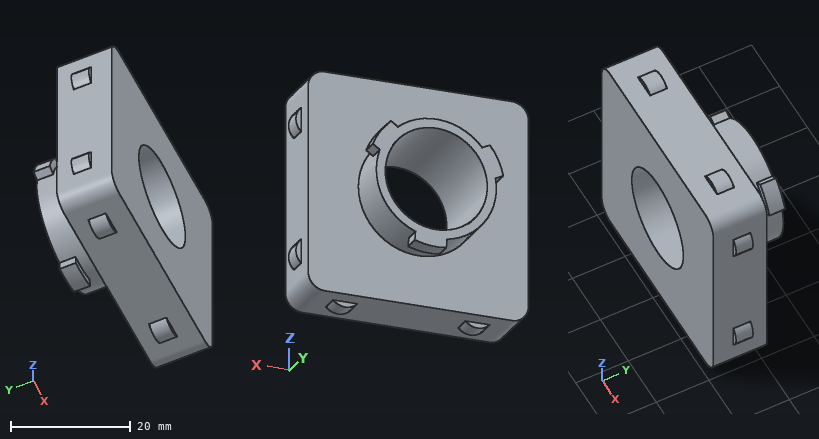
import cadquery as cq

overall_width = 41.85
body_width = 40.0
body_depth = 10.17
corner_radius = 3.0

boss_depth = 8.0
boss_diameter = 21.77
bore_diameter = 18.45
total_depth = body_depth + boss_depth

bump_radius = 3.0
bump_length = 3.22
bump_front = 3.8
bump_spacing = 24.0
bump_center = overall_width / 2 - bump_radius

lug_count = 3
first_lug_angle = 35.0
lug_tip_radius = 12.4
lug_width = 5.75
lug_depth = 3.0


def plane_at(y):
    """XZ plane at the given Y; a negative extrusion runs toward +Y."""
    return cq.Workplane("XZ", origin=(0, y, 0))


def make_body():
    body = plane_at(0).rect(body_width, body_width).extrude(-body_depth)
    return body.edges("|Y").fillet(corner_radius)


def make_bumps():
    half_spacing = bump_spacing / 2
    centers = []
    for side in (-1, 1):
        for position in (-half_spacing, half_spacing):
            centers.append((side * bump_center, position))
            centers.append((position, side * bump_center))
    return plane_at(bump_front).pushPoints(centers).circle(bump_radius).extrude(-bump_length)


def make_boss():
    return plane_at(body_depth).circle(boss_diameter / 2).extrude(-boss_depth)


def make_lug(angle):
    """Radial bar trimmed to a round tip, with angle measured from +X toward +Z."""
    lug_plane = plane_at(total_depth - lug_depth)
    bar = lug_plane.center(lug_tip_radius / 2, 0).rect(lug_tip_radius, lug_width).extrude(-lug_depth)
    tip_disc = lug_plane.circle(lug_tip_radius).extrude(-lug_depth)
    return bar.intersect(tip_disc).rotate((0, 0, 0), (0, 1, 0), -angle)


solid = make_body().union(make_bumps()).union(make_boss())
for index in range(lug_count):
    solid = solid.union(make_lug(first_lug_angle + index * 360 / lug_count))

bore = plane_at(0).circle(bore_diameter / 2).extrude(-total_depth)
result = solid.cut(bore)